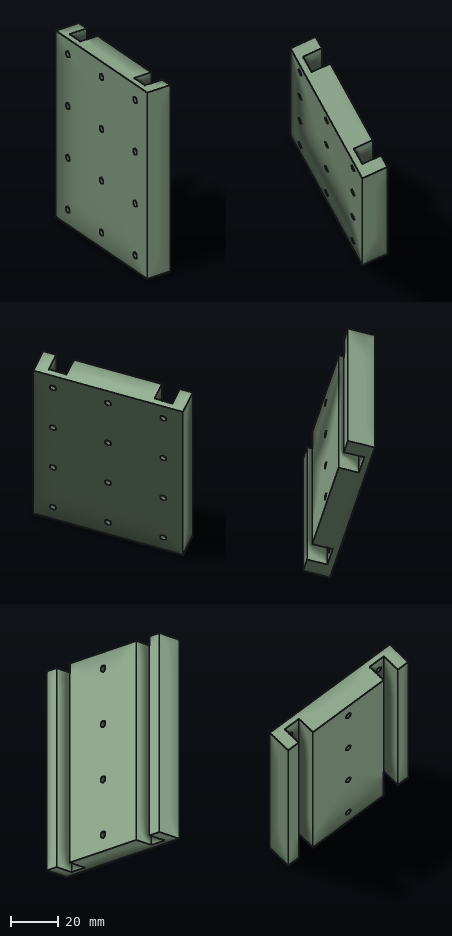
import cadquery as cq

width = 68.0
thickness = 12.0
height = 90.0

channel_width = 8.0
channel_floor = 3.0
channel_depth = thickness - channel_floor
rim_width = 6.0
channel_offset = width / 2 - rim_width - channel_width / 2

hole_diameter = 2.8
hole_pitch = 25.0
hole_columns = 3
hole_rows = 4


def make_plate():
    """Rectangular plate centred on the origin."""
    return cq.Workplane("XY").box(width, thickness, height)


def make_channel(x_center):
    """Cutter for one full-height channel in the +Y face."""
    y_center = thickness / 2 - channel_depth / 2
    channel = cq.Workplane("XY").box(channel_width, channel_depth, height)
    return channel.translate((x_center, y_center, 0))


def drill_holes(body):
    """Drill the centred hole grid from the -Y face right through the plate."""
    return (
        body.faces("<Y")
        .workplane(origin=(0, -thickness / 2, 0))
        .rarray(hole_pitch, hole_pitch, hole_columns, hole_rows)
        .hole(hole_diameter)
    )


plate = make_plate()
for side in (-1, 1):
    plate = plate.cut(make_channel(side * channel_offset))

result = drill_holes(plate)